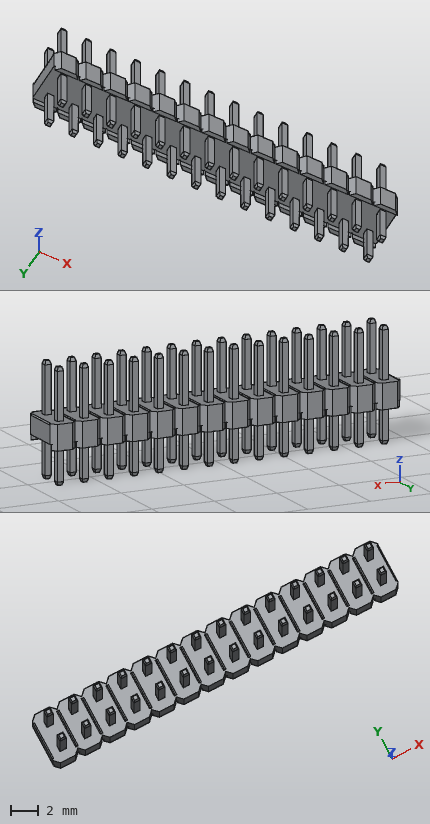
import cadquery as cq

length = 28.0
columns = 14
rows = 2
pitch = length / columns

housing_depth = rows * pitch
housing_height = 2.0
corner_chamfer = pitch / 5
channel_width = 3.3
channel_height = 0.45

groove_depth = 0.1
groove_half_width = groove_depth
groove_length = 2.95

pin_size = 0.5
pin_rise = 4.0
pin_height = 8.8
tip_height = 0.28
tip_size = 0.3


def make_groove():
    """Triangular cutter along Y with its point below Z = 0."""
    return (
        cq.Workplane("XZ")
        .moveTo(-groove_half_width, 0)
        .lineTo(groove_half_width, 0)
        .lineTo(0, -groove_depth)
        .close()
        .extrude(groove_length / 2, both=True)
    )


def make_cell():
    """One housing segment holding a single column of pins."""
    cell = (
        cq.Workplane("XY")
        .rect(pitch, housing_depth)
        .extrude(-housing_height)
        .edges("|Z")
        .chamfer(corner_chamfer)
    )
    groove = make_groove()
    for side in (-1, 1):
        cell = cell.cut(groove.translate((side * pitch / 2, 0, 0)))
    channel = (
        cq.Workplane("XY")
        .workplane(offset=-housing_height)
        .rect(pitch, channel_width)
        .extrude(channel_height)
    )
    return cell.cut(channel)


def make_tip():
    """Tapered pin end standing on Z = 0."""
    return (
        cq.Workplane("XY")
        .rect(pin_size, pin_size)
        .workplane(offset=tip_height)
        .rect(tip_size, tip_size)
        .loft()
    )


def make_pin():
    """Square pin with a tapered tip at both ends."""
    shank_top = pin_rise - tip_height
    shank_bottom = pin_rise - pin_height + tip_height
    shank = (
        cq.Workplane("XY", origin=(0, 0, shank_bottom))
        .rect(pin_size, pin_size)
        .extrude(shank_top - shank_bottom)
    )
    top_tip = make_tip().translate((0, 0, shank_top))
    bottom_tip = make_tip().mirror("XY").translate((0, 0, shank_bottom))
    return shank.union(top_tip).union(bottom_tip)


def make_column():
    """A housing segment with its pins, one per row."""
    column = make_cell()
    pin = make_pin()
    for row in range(rows):
        row_y = (row - (rows - 1) / 2) * pitch
        column = column.union(pin.translate((0, row_y, 0)))
    return column


column = make_column()
result = None
for index in range(columns):
    column_x = (index - (columns - 1) / 2) * pitch
    placed = column.translate((column_x, 0, 0))
    result = placed if result is None else result.union(placed)